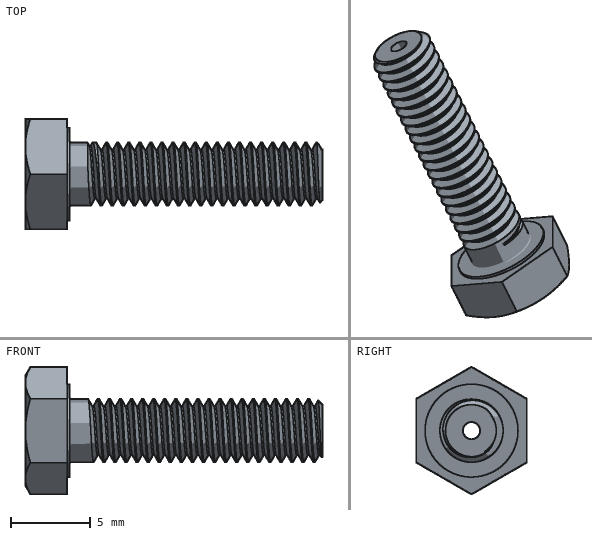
import cadquery as cq
import math

length = 18.8

across_flats = 7.0
across_corners = across_flats / math.cos(math.radians(30))
head_height = 2.63
head_chamfer_angle = 30.0

washer_diameter = 5.88
washer_thickness = 0.17
neck_fillet = 0.1

shank_diameter = 4.0
shank_radius = shank_diameter / 2
tip_chamfer = 0.35
bore_diameter = 1.07

groove_start = 4.27
thread_turns = 21
thread_run = 14.7
pitch = thread_run / thread_turns
thread_depth = 0.43
crest_width = pitch / 8
flank_angle = 30.0
runout_turns = 0.5
groove_overshoot = 0.05


def make_head():
    """Hexagon with corners on +Z and -Z, its top corners cut by a shallow cone."""
    hexagon = (
        cq.Workplane("YZ")
        .polygon(6, across_corners)
        .extrude(head_height)
        .rotate((0, 0, 0), (1, 0, 0), 90)
    )
    face_radius = across_flats / 2
    cone_reach = across_corners - face_radius
    cone_depth = cone_reach * math.tan(math.radians(head_chamfer_angle))
    envelope = (
        cq.Workplane("XY")
        .lineTo(0, face_radius)
        .lineTo(cone_depth, across_corners)
        .lineTo(head_height, across_corners)
        .lineTo(head_height, 0)
        .close()
        .revolve(360, (0, 0, 0), (1, 0, 0))
    )
    return hexagon.intersect(envelope)


def make_shank():
    """Washer face and plain shank as one turned profile with a chamfered tip."""
    neck = head_height + washer_thickness
    return (
        cq.Workplane("XY")
        .moveTo(head_height, 0)
        .lineTo(head_height, washer_diameter / 2)
        .lineTo(neck, washer_diameter / 2)
        .lineTo(neck, shank_radius + neck_fillet)
        .radiusArc((neck + neck_fillet, shank_radius), -neck_fillet)
        .lineTo(length - tip_chamfer, shank_radius)
        .lineTo(length, shank_radius - tip_chamfer)
        .lineTo(length, 0)
        .close()
        .revolve(360, (0, 0, 0), (1, 0, 0))
    )


def make_groove(start_x, turns, climb=0):
    """Groove winding from the +Z side at start_x toward the head, rising by climb."""
    height = turns * pitch
    slant_length = math.hypot(height, climb)
    slant_pitch = slant_length / turns
    cone_angle = math.degrees(math.atan2(climb, height)) if climb else 360
    root_radius = shank_radius - thread_depth
    outer_radius = shank_radius + groove_overshoot
    flank_slope = math.tan(math.radians(flank_angle))
    mouth_half = (pitch - crest_width) / 2 + groove_overshoot * flank_slope
    root_half = mouth_half - (outer_radius - root_radius) * flank_slope
    section = [
        (root_radius, -root_half),
        (outer_radius, -mouth_half),
        (outer_radius, mouth_half),
        (root_radius, root_half),
    ]
    helices = [
        cq.Wire.makeHelix(slant_pitch, slant_length, radius, cq.Vector(0, 0, offset), angle=cone_angle)
        for radius, offset in section
    ]
    sides = [
        cq.Face.makeRuledSurface(helix, helices[index - 1])
        for index, helix in enumerate(helices)
    ]
    start_cap, end_cap = [
        cq.Face.makeFromWires(cq.Wire.makePolygon(corners, close=True))
        for corners in (
            [helix.startPoint() for helix in helices],
            [helix.endPoint() for helix in helices],
        )
    ]
    side_faces = [face for side in sides for face in side.Faces()]
    groove = cq.Solid.makeSolid(cq.Shell.makeShell(side_faces + [start_cap, end_cap]))
    placement = cq.Plane(origin=(start_x, 0, 0), xDir=(0, 0, 1), normal=(-1, 0, 0))
    return groove.moved(cq.Location(placement))


def cut_thread(body):
    """Full-depth groove cut turn by turn, then a run-out that climbs out of the shank."""
    for turn in range(1, thread_turns + 1):
        body = body.cut(cq.Workplane(make_groove(groove_start + turn * pitch, 1)))
    runout = make_groove(groove_start, runout_turns, thread_depth + groove_overshoot)
    return body.cut(cq.Workplane(runout))


bore = cq.Workplane("YZ").circle(bore_diameter / 2).extrude(length)
result = make_head().union(cut_thread(make_shank())).cut(bore)